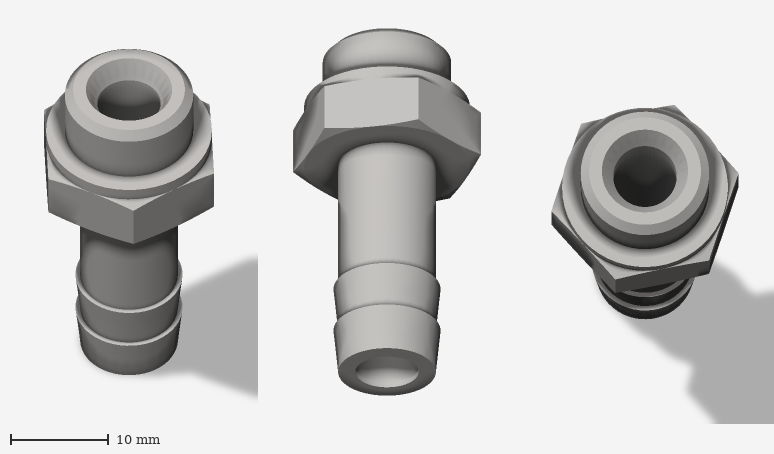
import cadquery as cq
import math

total_height = 37.1
bore_diameter = 6.5

stem_diameter = 10
barb_diameter = 11.0
barb_height = 4.85
barb_count = 2

across_flats = 17.0
hex_bottom = 24.1
hex_height = 5.6
hex_chamfer_angle = 15

spigot_diameter = 13.17
spigot_height = 6.0
spigot_chamfer = 0.85
countersink_diameter = 8.83
countersink_angle = 60

collar_top = total_height - spigot_height
hex_top = hex_bottom + hex_height


def cylinder(diameter, bottom, top):
    return cq.Workplane("XY").workplane(offset=bottom).circle(diameter / 2).extrude(top - bottom)


def revolve_profile(points):
    """Revolve a closed (radius, height) outline about the Z axis."""
    return cq.Workplane("XZ").polyline(points).close().revolve(360, (0, 0), (0, 1))


def make_barb(bottom):
    top = bottom + barb_height
    return revolve_profile([
        (0, bottom),
        (stem_diameter / 2, bottom),
        (barb_diameter / 2, top),
        (0, top),
    ])


def make_hexagon():
    """Hexagon with flats facing +X and -X and conical chamfers on both ends."""
    flat_radius = across_flats / 2
    across_corners = across_flats / math.cos(math.radians(30))
    corner_radius = across_corners / 2
    corner_drop = (corner_radius - flat_radius) * math.tan(math.radians(hex_chamfer_angle))
    prism = (
        cq.Workplane("XY")
        .workplane(offset=hex_bottom)
        .polygon(6, across_corners)
        .extrude(hex_height)
        .rotate((0, 0, 0), (0, 0, 1), 30)
    )
    chamfer_envelope = revolve_profile([
        (0, hex_bottom),
        (flat_radius, hex_bottom),
        (corner_radius, hex_bottom + corner_drop),
        (corner_radius, hex_top - corner_drop),
        (flat_radius, hex_top),
        (0, hex_top),
    ])
    return prism.intersect(chamfer_envelope)


def make_countersink():
    bore_radius = bore_diameter / 2
    mouth_radius = countersink_diameter / 2
    depth = (mouth_radius - bore_radius) / math.tan(math.radians(countersink_angle / 2))
    return revolve_profile([
        (0, total_height - depth),
        (bore_radius, total_height - depth),
        (mouth_radius, total_height),
        (0, total_height),
    ])


stem = cylinder(stem_diameter, barb_count * barb_height, hex_bottom)
collar = cylinder(across_flats, hex_top, collar_top)
spigot = cylinder(spigot_diameter, collar_top, total_height).faces(">Z").chamfer(spigot_chamfer)

body = stem.union(make_hexagon()).union(collar).union(spigot)
for barb_index in range(barb_count):
    body = body.union(make_barb(barb_index * barb_height))

result = body.cut(cylinder(bore_diameter, 0, total_height)).cut(make_countersink())